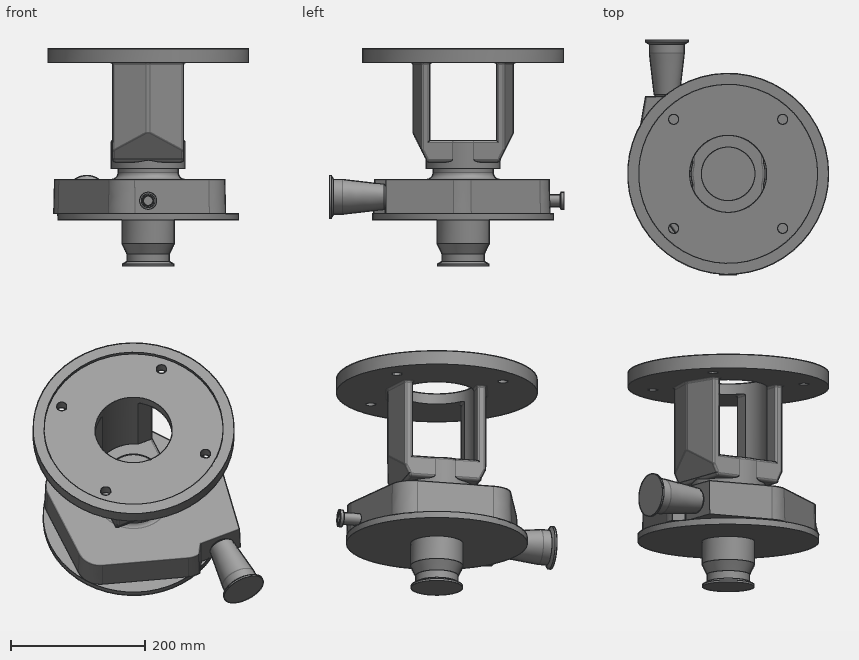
import cadquery as cq
import math


inlet_radius = 39.25
inlet_neck_radius = 31.75
inlet_ferrule_radius = 38.5
inlet_ferrule_rim = 3.0
inlet_ferrule_height = 7.0
inlet_neck_top = 18.5
inlet_cone_top = 34.0

cover_bottom = 69.0
cover_thickness = 9.5
cover_radius = 135.0
volute_bottom = cover_bottom + cover_thickness
volute_height = 51.0
volute_top = volute_bottom + volute_height
volute_sides = 5
volute_inradius = 115.75
volute_corner_radius = 35.5
volute_shoulder_x = -39.5
volute_shoulder_radius = 33.0
volute_notch_x = -49.3
volute_notch_y = 132.8
volute_draft = 1.5
volute_top_fillet = 0.7
outlet_wall_y = 115.0
outlet_wall_left_x = -123.2
outlet_wall_right_x = -59.0

outlet_x = -91.5
outlet_z = 103.4
outlet_end_y = 199.75
outlet_ferrule_radius = 32.0
outlet_ferrule_rim = 3.0
outlet_ferrule_height = 6.5
outlet_tube_radius = 26.25
outlet_tube_length = 19.5
outlet_cone_small_radius = 19.0
outlet_cone_start_y = 118.0
outlet_root_radius = 16.0

port_z = 97.6
port_end_y = -150.75
port_tube_radius = 9.0
port_bore_radius = 7.0
port_groove_inner_radius = 8.25
port_groove_outer_radius = 10.25
port_groove_depth = 1.0
port_flange_radius = 12.75
port_flange_rim = 5.0
port_flange_height = 6.5

neck_radius = 45.0
neck_fillet = 10.0
hub_bottom = 145.5
hub_radius = 55.25
hub_top = 187.5
hub_recess_radius = 40.0
hub_recess_depth = 2.0

yoke_bottom = 155.0
yoke_half_width = 53.0
yoke_half_depth = 75.0
yoke_ridge_half_width = 3.0
yoke_side_half_depth = 61.5
yoke_bend_z = 199.0
yoke_foot_half_depth = 55.5
yoke_foot_top = 160.0
yoke_corner_radius = 3.0
yoke_slope_fillet = 3.0
yoke_bottom_fillet = 4.5
window_half_depth = 49.75
window_fillet = 3.0
yoke_top_fillet = 3.0

flange_top = 324.5
flange_thickness = 21.0
flange_bottom = flange_top - flange_thickness
flange_radius = 150.0
spigot_radius = 133.5
spigot_depth = 5.0
flange_bore_radius = 57.5
bolt_circle_radius = 115.0
bolt_hole_diameter = 15.0
bolt_count = 4
first_bolt_angle = 45.0

pick_margin = 1.0


def disc(radius, bottom, top):
    """Cylinder on the shaft axis between two heights."""
    return cq.Workplane("XY").workplane(offset=bottom).circle(radius).extrude(top - bottom)


def polar(radius, angle):
    """Point in the XY plane at an angle given in degrees."""
    return (radius * math.cos(math.radians(angle)), radius * math.sin(math.radians(angle)))


def revolve_along_y(profile, axis_x, axis_z):
    """Turn a closed (radius, y) profile about an axis parallel to Y."""
    turned = cq.Workplane("XY").polyline(profile).close().revolve(360, (0, 0, 0), (0, 1, 0))
    return turned.translate((axis_x, 0, axis_z))


def make_inlet():
    profile = [
        (0, 0),
        (inlet_ferrule_radius, 0),
        (inlet_ferrule_radius, inlet_ferrule_rim),
        (inlet_neck_radius, inlet_ferrule_height),
        (inlet_neck_radius, inlet_neck_top),
        (inlet_radius, inlet_cone_top),
        (inlet_radius, volute_bottom),
        (0, volute_bottom),
    ]
    return cq.Workplane("XZ").polyline(profile).close().revolve(360, (0, 0, 0), (0, 1, 0))


def make_volute():
    step = 360 / volute_sides
    circumradius = volute_inradius / math.cos(math.pi / volute_sides)
    corners = [polar(circumradius, 180 + step * i) for i in range(volute_sides - 1)]
    corner_radii = [volute_corner_radius] * len(corners)

    side_normal = math.radians(180 - 1.5 * step)
    shoulder_y = (volute_inradius - volute_shoulder_x * math.cos(side_normal)) / math.sin(side_normal)
    corners.append((volute_shoulder_x, shoulder_y))
    corner_radii.append(volute_shoulder_radius)

    draft_run = volute_height * math.tan(math.radians(volute_draft))
    untrimmed_wall_y = outlet_wall_y + draft_run
    outlet_corners = [
        (volute_notch_x, volute_notch_y),
        (outlet_wall_right_x, untrimmed_wall_y),
        (outlet_wall_left_x, untrimmed_wall_y),
    ]
    sharp = cq.Workplane("XY").polyline(corners + outlet_corners).close().extrude(1)
    for (x, y), radius in zip(corners, corner_radii):
        sharp = sharp.edges(cq.selectors.NearestToPointSelector((x, y, 0.5))).fillet(radius)
    rounded = sharp.faces("<Z").wires().val()
    volute = cq.Workplane("XY").add(rounded).toPending().extrude(volute_height, taper=volute_draft)
    volute = volute.faces(">Z").edges("not |X").fillet(volute_top_fillet)

    trim_left_x = -circumradius
    trim_size = (outlet_wall_right_x - trim_left_x, 2 * draft_run, volute_height)
    trim = cq.Workplane("XY").box(*trim_size, centered=False).translate((trim_left_x, outlet_wall_y, 0))
    return volute.cut(trim).translate((0, 0, volute_bottom))


def make_neck():
    shoulder = neck_radius + neck_fillet
    blend_top = volute_top + neck_fillet
    blend_offset = neck_fillet * (1 - math.sqrt(0.5))
    profile = cq.Workplane("XZ").moveTo(0, volute_top).lineTo(shoulder, volute_top)
    blend_middle = (neck_radius + blend_offset, volute_top + blend_offset)
    profile = profile.threePointArc(blend_middle, (neck_radius, blend_top))
    profile = profile.lineTo(neck_radius, hub_bottom).lineTo(0, hub_bottom).close()
    return profile.revolve(360, (0, 0, 0), (0, 1, 0))


def make_outlet():
    cone_end_y = outlet_end_y - outlet_tube_length
    return revolve_along_y(
        [
            (0, outlet_wall_y),
            (outlet_root_radius, outlet_wall_y),
            (outlet_cone_small_radius, outlet_cone_start_y),
            (outlet_tube_radius, cone_end_y),
            (outlet_tube_radius, outlet_end_y - outlet_ferrule_height),
            (outlet_ferrule_radius, outlet_end_y - outlet_ferrule_rim),
            (outlet_ferrule_radius, outlet_end_y),
            (0, outlet_end_y),
        ],
        outlet_x,
        outlet_z,
    )


def make_port():
    rim_back_y = port_end_y + port_flange_rim
    groove_floor_y = port_end_y + port_groove_depth
    root_y = -volute_inradius
    return revolve_along_y(
        [
            (port_bore_radius, root_y),
            (port_bore_radius, port_end_y),
            (port_groove_inner_radius, port_end_y),
            (port_groove_inner_radius, groove_floor_y),
            (port_groove_outer_radius, groove_floor_y),
            (port_groove_outer_radius, port_end_y),
            (port_flange_radius, port_end_y),
            (port_flange_radius, rim_back_y),
            (port_tube_radius, port_end_y + port_flange_height),
            (port_tube_radius, root_y),
        ],
        0,
        port_z,
    )


def make_yoke():
    quarter = [(yoke_half_width, yoke_side_half_depth), (yoke_ridge_half_width, yoke_half_depth)]
    upper = quarter + [(-x, y) for x, y in reversed(quarter)]
    plan = upper + [(-x, -y) for x, y in upper]
    block = cq.Workplane("XY").workplane(offset=yoke_bottom).polyline(plan).close()
    block = block.extrude(flange_bottom - yoke_bottom)
    side = [
        (yoke_foot_half_depth, yoke_bottom),
        (yoke_foot_half_depth, yoke_foot_top),
        (yoke_half_depth, yoke_bend_z),
        (yoke_half_depth, flange_bottom),
    ]
    side = side + [(-y, z) for y, z in reversed(side)]
    block = block.intersect(cq.Workplane("YZ").polyline(side).close().extrude(yoke_half_width, both=True))
    slope_rim = cq.selectors.BoxSelector(
        (-yoke_half_width + pick_margin, -yoke_half_depth - pick_margin, yoke_foot_top + pick_margin),
        (yoke_half_width - pick_margin, yoke_half_depth + pick_margin, yoke_bend_z + pick_margin),
    )
    block = block.edges(slope_rim).edges("not |Z").fillet(yoke_slope_fillet)
    block = block.faces("<Z").edges().fillet(yoke_bottom_fillet)
    for side_x in (">X", "<X"):
        block = block.faces(side_x).edges("not(#Z or <Z)").fillet(yoke_corner_radius)

    yoke = block.union(disc(hub_radius, hub_bottom, hub_top))
    window = cq.Workplane("XY").box(
        4 * hub_radius,
        2 * window_half_depth,
        flange_bottom - hub_top,
        centered=(True, True, False),
    ).translate((0, 0, hub_top))
    yoke = yoke.cut(window)
    rim_box = cq.selectors.BoxSelector(
        (-hub_radius - pick_margin, -window_half_depth - pick_margin, hub_top - pick_margin),
        (hub_radius + pick_margin, window_half_depth + pick_margin, flange_bottom - pick_margin),
    )
    yoke = yoke.edges(rim_box).edges("not(|X)").fillet(window_fillet)
    return yoke


def make_flange():
    spigot_recess = disc(spigot_radius, flange_top - spigot_depth, flange_top)
    return disc(flange_radius, flange_bottom, flange_top).cut(spigot_recess)


def make_bolt_holes():
    holes = cq.Workplane("XY").workplane(offset=flange_bottom)
    holes = holes.polarArray(bolt_circle_radius, first_bolt_angle, 360, bolt_count)
    return holes.circle(bolt_hole_diameter / 2).extrude(flange_thickness)


yoke = make_yoke().union(make_flange())
leg_joint = cq.selectors.BoxSelector(
    (-yoke_half_width - pick_margin, -yoke_half_depth - pick_margin, flange_bottom - pick_margin),
    (yoke_half_width + pick_margin, yoke_half_depth + pick_margin, flange_bottom + pick_margin),
    boundingbox=True,
)
yoke = yoke.edges(leg_joint).fillet(yoke_top_fillet)
yoke = yoke.cut(disc(flange_bore_radius, hub_top, flange_top)).cut(make_bolt_holes())
yoke = yoke.cut(disc(hub_recess_radius, hub_top - hub_recess_depth, hub_top))

casing = make_volute().union(disc(cover_radius, cover_bottom, volute_bottom)).union(make_inlet())
casing = casing.union(make_outlet()).union(make_port())

result = casing.union(make_neck()).union(yoke)